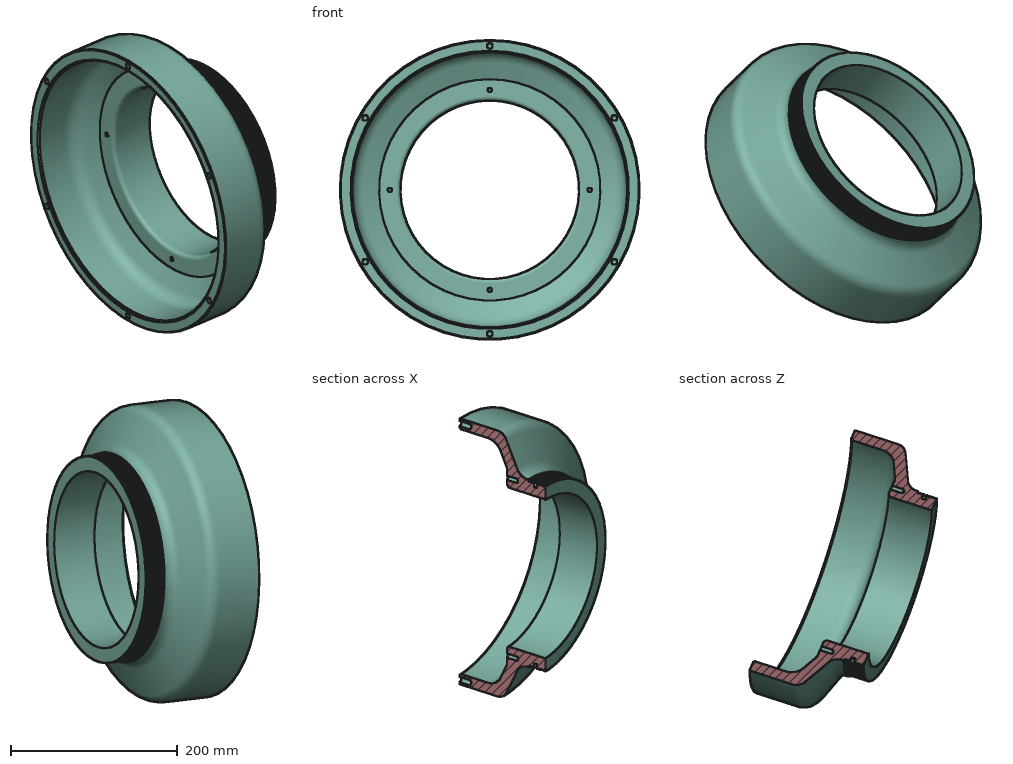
import cadquery as cq
import math

LENGTH = 126.2

FLANGE_RADIUS = 180.0
FLANGE_EDGE_CHAMFER = 1.0
FLANGE_CYLINDER_LENGTH = 55.0
COLLAR_RADIUS = 127.0
OUTER_FILLET = 15.0
CONE_ANGLE = math.radians(65)

NECK_RADIUS = 125.0
NECK_LENGTH = 25.0
GROOVE_COUNT = 6
GROOVE_PITCH = 4.0
GROOVE_WIDTH = 2.0
GROOVE_DEPTH = 0.5

BORE_RADIUS = 107.0
BORE_EDGE_FILLET = 5.0
POCKET_RADIUS = 165.0
POCKET_DEPTH = 69.2
POCKET_FLOOR_RADIUS = 132.8
POCKET_FILLET = 20.0
POCKET_MOUTH_CHAMFER = 2.0

DRILL_TIP_HALF_ANGLE = math.radians(59)

FLANGE_HOLE_COUNT = 6
FLANGE_HOLE_CIRCLE = 172.75
FLANGE_HOLE_DIAMETER = 6.8
FLANGE_HOLE_DEPTH = 15.0

FLOOR_HOLE_COUNT = 4
FLOOR_HOLE_CIRCLE = 120.0
FLOOR_HOLE_DIAMETER = 5.0
FLOOR_HOLE_DEPTH = 15.0

NECK_HOLE_COUNT = 8
NECK_HOLE_DIAMETER = 4.0
NECK_HOLE_DEPTH = 6.0
NECK_HOLE_GROOVE = 3


def groove_center(index):
    """Y position of the middle of a neck groove; a land comes before each groove."""
    return LENGTH - (index + 1) * GROOVE_PITCH + GROOVE_WIDTH / 2


def tangent_step(fillet):
    """Axial and radial extent of a fillet turning from a cylinder to the cone."""
    return fillet * math.sin(CONE_ANGLE), fillet * (1 - math.cos(CONE_ANGLE))


def halfway_step(fillet):
    """Axial and radial distance from the cylinder to the middle of that fillet."""
    half_angle = CONE_ANGLE / 2
    return fillet * math.sin(half_angle), fillet * (1 - math.cos(half_angle))


def body():
    """Revolved ring; the sketch coordinates are radius and Y."""
    axial, radial = tangent_step(OUTER_FILLET)
    half_axial, half_radial = halfway_step(OUTER_FILLET)
    shoulder = LENGTH - NECK_LENGTH
    cone_outer = (FLANGE_RADIUS - radial, FLANGE_CYLINDER_LENGTH + axial)
    cone_inner_radius = COLLAR_RADIUS + radial
    cone_length = (cone_outer[0] - cone_inner_radius) / math.tan(CONE_ANGLE)
    cone_inner = (cone_inner_radius, cone_outer[1] + cone_length)
    collar_start = cone_inner[1] + axial

    pocket_axial, pocket_radial = tangent_step(POCKET_FILLET)
    pocket_half_axial, pocket_half_radial = halfway_step(POCKET_FILLET)
    pocket_cone_radius = POCKET_RADIUS - pocket_radial
    pocket_cone_length = (pocket_cone_radius - POCKET_FLOOR_RADIUS) / math.tan(CONE_ANGLE)
    pocket_cone_start = POCKET_DEPTH - pocket_cone_length
    pocket_wall_end = pocket_cone_start - pocket_axial

    bore_arc_offset = BORE_EDGE_FILLET * (1 - math.cos(math.radians(45)))

    profile = (
        cq.Workplane("ZY")
        .moveTo(POCKET_RADIUS + POCKET_MOUTH_CHAMFER, 0)
        .lineTo(FLANGE_RADIUS - FLANGE_EDGE_CHAMFER, 0)
        .lineTo(FLANGE_RADIUS, FLANGE_EDGE_CHAMFER)
        .lineTo(FLANGE_RADIUS, FLANGE_CYLINDER_LENGTH)
        .threePointArc(
            (FLANGE_RADIUS - half_radial, FLANGE_CYLINDER_LENGTH + half_axial), cone_outer
        )
        .lineTo(*cone_inner)
        .threePointArc(
            (COLLAR_RADIUS + half_radial, collar_start - half_axial), (COLLAR_RADIUS, collar_start)
        )
        .lineTo(COLLAR_RADIUS, shoulder)
        .lineTo(NECK_RADIUS, shoulder)
        .lineTo(NECK_RADIUS, LENGTH)
        .lineTo(BORE_RADIUS, LENGTH)
        .lineTo(BORE_RADIUS, POCKET_DEPTH + BORE_EDGE_FILLET)
        .threePointArc(
            (BORE_RADIUS + bore_arc_offset, POCKET_DEPTH + bore_arc_offset),
            (BORE_RADIUS + BORE_EDGE_FILLET, POCKET_DEPTH),
        )
        .lineTo(POCKET_FLOOR_RADIUS, POCKET_DEPTH)
        .lineTo(pocket_cone_radius, pocket_cone_start)
        .threePointArc(
            (POCKET_RADIUS - pocket_half_radial, pocket_wall_end + pocket_half_axial),
            (POCKET_RADIUS, pocket_wall_end),
        )
        .lineTo(POCKET_RADIUS, POCKET_MOUTH_CHAMFER)
        .close()
    )
    return profile.revolve(360, (0, 0, 0), (0, 1, 0))


def neck_groove(index):
    """Ring that cuts one groove into the neck."""
    section = cq.Workplane("ZY").moveTo(NECK_RADIUS, groove_center(index))
    section = section.rect(2 * GROOVE_DEPTH, GROOVE_WIDTH)
    return section.revolve(360, (0, 0, 0), (0, 1, 0))


def axial_hole(circle_radius, angle, diameter, start, depth):
    """Blind hole along +Y from the face at Y = start, ending in a drill tip.

    The angle is measured from +Z, and the depth is that of the full diameter.
    """
    direction = cq.Vector(0, 1, 0)
    center = cq.Vector(circle_radius * math.sin(angle), start, circle_radius * math.cos(angle))
    radius = diameter / 2
    tip_length = radius / math.tan(DRILL_TIP_HALF_ANGLE)
    shaft = cq.Solid.makeCylinder(radius, depth, center, direction)
    tip = cq.Solid.makeCone(radius, 0, tip_length, center + direction * depth, direction)
    return cq.Workplane(shaft).union(cq.Workplane(tip))


def neck_hole(angle):
    """Flat-bottomed radial hole in a neck groove; the angle is measured from +Z."""
    outward = cq.Vector(math.sin(angle), 0, math.cos(angle))
    start = outward * NECK_RADIUS + cq.Vector(0, groove_center(NECK_HOLE_GROOVE), 0)
    return cq.Solid.makeCylinder(NECK_HOLE_DIAMETER / 2, NECK_HOLE_DEPTH, start, outward * -1)


def evenly_spaced_angles(count):
    """Angles that divide a full turn into equal steps, in radians."""
    return [index * 2 * math.pi / count for index in range(count)]


result = body()
for groove in range(GROOVE_COUNT):
    result = result.cut(neck_groove(groove))
for angle in evenly_spaced_angles(FLANGE_HOLE_COUNT):
    result = result.cut(
        axial_hole(FLANGE_HOLE_CIRCLE, angle, FLANGE_HOLE_DIAMETER, 0, FLANGE_HOLE_DEPTH)
    )
for angle in evenly_spaced_angles(FLOOR_HOLE_COUNT):
    result = result.cut(
        axial_hole(FLOOR_HOLE_CIRCLE, angle, FLOOR_HOLE_DIAMETER, POCKET_DEPTH, FLOOR_HOLE_DEPTH)
    )
for angle in evenly_spaced_angles(NECK_HOLE_COUNT):
    result = result.cut(neck_hole(angle))